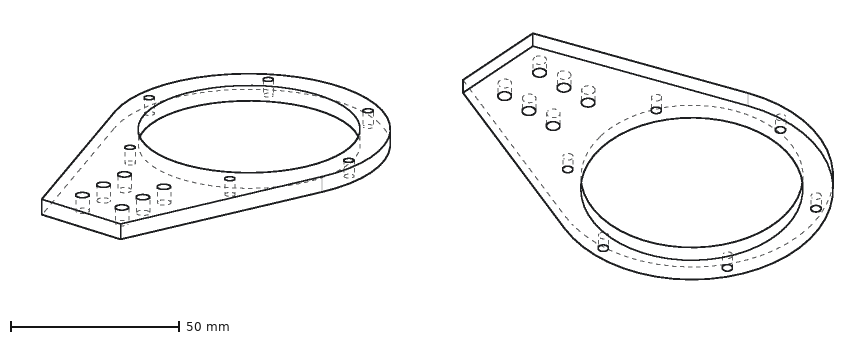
import cadquery as cq
import math

overall_length = 122.0
thickness = 5.0
ring_diameter = 84.0
bore_diameter = 66.0
ring_hole_count = 6
ring_hole_circle_diameter = 76.0
ring_hole_diameter = 3.0
tip_width = 30.0
tail_hole_diameter = 4.0
tail_hole_rows = 3
tail_hole_columns = 2
tail_row_pitch = 10.0
tail_column_pitch = 15.0
tip_to_first_row = 10.0

ring_radius = ring_diameter / 2
tip_y = ring_radius - overall_length
tip_half_width = tip_width / 2

corner_distance = math.hypot(tip_half_width, tip_y)
corner_angle = math.atan2(tip_y, tip_half_width)
tangent_angle = corner_angle + math.acos(ring_radius / corner_distance)
tangent_x = ring_radius * math.cos(tangent_angle)
tangent_y = ring_radius * math.sin(tangent_angle)


def make_plate():
    return (
        cq.Workplane("XY")
        .moveTo(-tip_half_width, tip_y)
        .lineTo(tip_half_width, tip_y)
        .lineTo(tangent_x, tangent_y)
        .threePointArc((0, ring_radius), (-tangent_x, tangent_y))
        .close()
        .extrude(thickness)
    )


def make_bore():
    return cq.Workplane("XY").circle(bore_diameter / 2).extrude(thickness)


def make_ring_holes():
    return (
        cq.Workplane("XY")
        .polarArray(ring_hole_circle_diameter / 2, 0, 360, ring_hole_count)
        .circle(ring_hole_diameter / 2)
        .extrude(thickness)
    )


def make_tail_holes():
    grid_center_y = tip_y + tip_to_first_row + tail_row_pitch * (tail_hole_rows - 1) / 2
    return (
        cq.Workplane("XY")
        .center(0, grid_center_y)
        .rarray(tail_column_pitch, tail_row_pitch, tail_hole_columns, tail_hole_rows)
        .circle(tail_hole_diameter / 2)
        .extrude(thickness)
    )


result = make_plate().cut(make_bore()).cut(make_ring_holes()).cut(make_tail_holes())